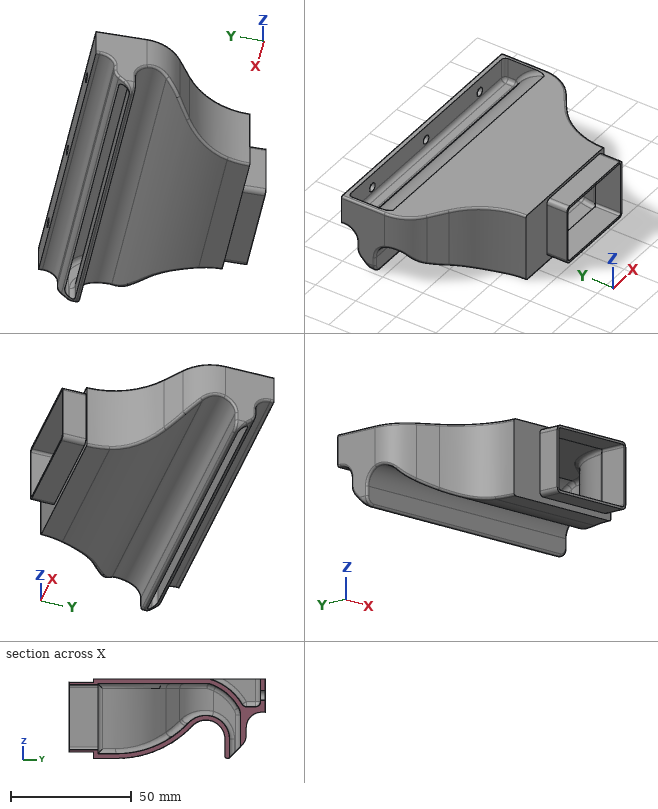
import cadquery as cq
import math


LENGTH = 120.0
HEIGHT = 33.0
TOTAL_DEPTH = 81.1
SPOUT_LENGTH = 10.0
BODY_DEPTH = TOTAL_DEPTH - SPOUT_LENGTH
WALL = 2.0
EDGE_RADIUS = 1.0
INNER_RADIUS = 2.0
OVERLAP = 1.2
ANGLE_TOLERANCE = 0.01

FRONT_WIDTH = 58.1
STRAIGHT_SIDE = 21.4
SHOULDER_RADIUS = 19.2
NECK_RADIUS = 34.8

BACK_STEP_Z = 19.1
BACK_STEP_RADIUS = 6.2
LIP_BACK = 7.8
LIP_BEND_RADIUS = 6.0
BEVEL_FOOT = 15.1
LIP_FRONT = 16.8
LIP_CORNER_RADIUS = 4.0
HUMP_RADIUS = 7.8
HUMP_Z = 15.8
HUMP_CENTRE = LIP_FRONT + HUMP_RADIUS
HUMP_CENTRE_Z = HUMP_Z - HUMP_RADIUS
BELLY_END = 61.5
HUMP_TURN = 2 * math.atan2(HUMP_Z, BELLY_END - HUMP_CENTRE)
BELLY_RADIUS = (BELLY_END - HUMP_CENTRE) / math.sin(HUMP_TURN) - HUMP_RADIUS

TROUGH_FLOOR_Z = 21.5
HILL_RADIUS = 23.2
HILL_TOP = 23.2
HILL_TOP_TILT = math.radians(16)
HILL_CENTRE = HILL_TOP + HILL_RADIUS * math.sin(HILL_TOP_TILT)
HILL_CENTRE_Z = HEIGHT - HILL_RADIUS * math.cos(HILL_TOP_TILT)
HILL_FOOT_TILT = math.acos((TROUGH_FLOOR_Z - HILL_CENTRE_Z) / HILL_RADIUS)

DUCT_TURN_RADIUS = 6.0
DUCT_TURN_TILT = math.radians(61)

HOLE_DIAMETER = 4.0
HOLE_SPACING = 40.0
HOLE_COUNT = 3
HOLE_DROP = 6.8

SPOUT_X = 7.0
SPOUT_WIDTH = 41.2
SPOUT_BOTTOM = 2.6
SPOUT_HEIGHT = 28.9
SPOUT_WALL = 1.1
SPOUT_RADIUS = 2.2


def on_circle(centre, centre_z, radius, tilt):
    """Point on a circle, tilt measured from straight up towards the front, as (depth, z)."""
    return centre + radius * math.sin(tilt), centre_z + radius * math.cos(tilt)


def side_sketch(half_width):
    """Sketch plane at x = half_width; local x is the depth from the back face, local y is z."""
    return cq.Workplane(cq.Plane(origin=(half_width, 0, 0), xDir=(0, -1, 0), normal=(-1, 0, 0)))


def plan_prism(inset):
    """Full-height block with the plan outline moved inwards by inset."""
    half_length = LENGTH / 2 - inset
    half_front = FRONT_WIDTH / 2 - inset
    front = -BODY_DEPTH + inset
    shoulder = SHOULDER_RADIUS - inset
    neck = NECK_RADIUS + inset

    reach = SHOULDER_RADIUS + NECK_RADIUS
    across = reach - (LENGTH - FRONT_WIDTH) / 2
    along = BODY_DEPTH - STRAIGHT_SIDE
    straight = math.sqrt(across**2 + along**2 - reach**2)
    turn = math.atan2(along, across) - math.atan2(straight, reach)

    def shoulder_point(angle):
        return half_length - shoulder * (1 - math.cos(angle)), -STRAIGHT_SIDE - shoulder * math.sin(angle)

    def neck_point(angle):
        return half_front + neck * (1 - math.cos(angle)), -BODY_DEPTH + neck * math.sin(angle)

    start = math.asin(inset / neck)
    half = (
        cq.Workplane("XY")
        .moveTo(0, -inset)
        .lineTo(half_length, -inset)
        .lineTo(*shoulder_point(0))
        .threePointArc(shoulder_point(turn / 2), shoulder_point(turn))
        .lineTo(*neck_point(turn))
        .threePointArc(neck_point((turn + start) / 2), neck_point(start))
        .lineTo(0, front)
        .close()
        .extrude(HEIGHT)
    )
    return half.union(half.mirror("YZ"))


def belly_point(radius, turn):
    """Point on a belly arc, turned back from its lowest point, as (depth, z)."""
    return on_circle(BELLY_END, BELLY_RADIUS, radius, math.pi + turn)


def round_side_edges(solid):
    """Round the upper and lower edges of both side walls, including the lip corners."""
    upright = cq.Vector(0, 0, 1)
    fore_and_aft = cq.Vector(0, 1, 0)

    def runs_along(edge, direction):
        return edge.geomType() == "LINE" and edge.tangentAt(0).cross(direction).Length < ANGLE_TOLERANCE

    def selected(edge):
        centre = edge.Center()
        lip_seam = runs_along(edge, fore_and_aft) and centre.z < HUMP_CENTRE_Z
        return abs(centre.x) > OVERLAP and not runs_along(edge, upright) and not lip_seam

    edges = [edge for edge in solid.edges().vals() if selected(edge)]
    return solid.newObject(edges).fillet(EDGE_RADIUS)


def body():
    """Solid body: plan outline crossed with the side profile, outer edges rounded."""
    bend = LIP_BEND_RADIUS
    bend_start_z = BEVEL_FOOT - LIP_BACK + bend * math.tan(math.pi / 8)
    bend_centre = LIP_BACK + bend

    def bend_point(angle):
        return bend_centre - bend * math.cos(angle), bend_start_z - bend * math.sin(angle)

    step_start = LIP_BACK - BACK_STEP_RADIUS
    step_centre_z = BACK_STEP_Z - BACK_STEP_RADIUS
    profile = (
        side_sketch(LENGTH / 2)
        .moveTo(0, HEIGHT)
        .lineTo(0, BACK_STEP_Z)
        .lineTo(step_start, BACK_STEP_Z)
        .threePointArc(
            on_circle(step_start, step_centre_z, BACK_STEP_RADIUS, math.pi / 4), (LIP_BACK, step_centre_z)
        )
        .lineTo(LIP_BACK, bend_start_z)
        .threePointArc(bend_point(math.pi / 8), bend_point(math.pi / 4))
        .lineTo(BEVEL_FOOT, 0)
        .lineTo(LIP_FRONT, 0)
        .lineTo(LIP_FRONT, HUMP_CENTRE_Z)
        .threePointArc(
            (HUMP_CENTRE, HUMP_Z), on_circle(HUMP_CENTRE, HUMP_CENTRE_Z, HUMP_RADIUS, HUMP_TURN)
        )
        .threePointArc(belly_point(BELLY_RADIUS, HUMP_TURN / 2), (BELLY_END, 0))
        .lineTo(BODY_DEPTH, 0)
        .lineTo(BODY_DEPTH, HEIGHT)
        .close()
        .extrude(LENGTH)
    )
    lip_zone = cq.Workplane("XY").box(LENGTH, LIP_FRONT, HEIGHT, centered=(True, False, False))
    lip_zone = lip_zone.translate((0, -LIP_FRONT, 0))
    lip_corners = lip_zone.cut(lip_zone.edges("|Y and <Z").fillet(LIP_CORNER_RADIUS))
    solid = plan_prism(0).intersect(profile).cut(lip_corners)
    return round_side_edges(solid)


def trough():
    """Tool for the open trough: flat floor, rounded corners, rising to the top along the hill."""
    half_width = LENGTH / 2 - WALL
    above = HEIGHT + INNER_RADIUS + OVERLAP
    tool = (
        side_sketch(half_width)
        .moveTo(WALL, TROUGH_FLOOR_Z)
        .lineTo(*on_circle(HILL_CENTRE, HILL_CENTRE_Z, HILL_RADIUS, -HILL_FOOT_TILT))
        .threePointArc(
            on_circle(HILL_CENTRE, HILL_CENTRE_Z, HILL_RADIUS, -HILL_FOOT_TILT / 2),
            (HILL_CENTRE, HILL_CENTRE_Z + HILL_RADIUS),
        )
        .lineTo(HILL_CENTRE, above)
        .lineTo(WALL, above)
        .close()
        .extrude(2 * half_width)
    )
    foot_depth = HILL_CENTRE - HILL_RADIUS * math.sin(HILL_FOOT_TILT)
    foot = cq.selectors.NearestToPointSelector((0, -foot_depth, TROUGH_FLOOR_Z))
    tool = tool.edges(foot).fillet(INNER_RADIUS)
    return tool.edges("<Z or (|Z and >Y) or <X or >X").edges("not(>Z)").fillet(INNER_RADIUS)


def duct():
    """Tool for the inner duct: over the hump, under the hill and out through the bevelled lip."""
    ceiling = HEIGHT - WALL
    under_hill = HILL_RADIUS - WALL
    ceiling_tilt = math.acos((ceiling - HILL_CENTRE_Z) / under_hill)
    turn_start = on_circle(HILL_CENTRE, HILL_CENTRE_Z, under_hill, -DUCT_TURN_TILT)
    turn_offset = under_hill - DUCT_TURN_RADIUS
    turn_centre, turn_z = on_circle(HILL_CENTRE, HILL_CENTRE_Z, turn_offset, -DUCT_TURN_TILT)
    turn_middle = -(DUCT_TURN_TILT + math.pi / 2) / 2
    back = turn_centre - DUCT_TURN_RADIUS
    hump = HUMP_RADIUS + WALL
    belly = BELLY_RADIUS - WALL
    profile = (
        side_sketch(LENGTH / 2)
        .moveTo(back, -OVERLAP)
        .lineTo(back, turn_z)
        .threePointArc(on_circle(turn_centre, turn_z, DUCT_TURN_RADIUS, turn_middle), turn_start)
        .threePointArc(
            on_circle(HILL_CENTRE, HILL_CENTRE_Z, under_hill, -(DUCT_TURN_TILT + ceiling_tilt) / 2),
            on_circle(HILL_CENTRE, HILL_CENTRE_Z, under_hill, -ceiling_tilt),
        )
        .lineTo(BODY_DEPTH, ceiling)
        .lineTo(BODY_DEPTH, WALL)
        .lineTo(BELLY_END, WALL)
        .threePointArc(belly_point(belly, HUMP_TURN / 2), belly_point(belly, HUMP_TURN))
        .threePointArc((HUMP_CENTRE, HUMP_CENTRE_Z + hump), (HUMP_CENTRE - hump, HUMP_CENTRE_Z))
        .lineTo(HUMP_CENTRE - hump, -OVERLAP)
        .close()
        .extrude(LENGTH)
    )
    tool = plan_prism(WALL).intersect(profile)

    def along_side(edge):
        centre = edge.Center()
        return abs(centre.x) > OVERLAP and centre.z > 0

    side_edges = [edge for edge in tool.edges().vals() if along_side(edge)]
    return tool.newObject(side_edges).fillet(INNER_RADIUS)


def spout_block(inset, length):
    """Rounded rectangular bar of the spout section, running inwards from the spout mouth."""
    centre_z = SPOUT_BOTTOM + SPOUT_HEIGHT / 2
    return (
        cq.Workplane("XZ", origin=(SPOUT_X, -TOTAL_DEPTH, centre_z))
        .rect(SPOUT_WIDTH - 2 * inset, SPOUT_HEIGHT - 2 * inset)
        .extrude(-length)
        .edges("|Y")
        .fillet(SPOUT_RADIUS - inset)
    )


def screw_holes():
    """Row of holes through the back wall."""
    return (
        cq.Workplane("XZ", origin=(0, OVERLAP, HEIGHT - HOLE_DROP))
        .rarray(HOLE_SPACING, 1.2, HOLE_COUNT, 1)
        .circle(HOLE_DIAMETER / 2)
        .extrude(WALL + 2 * OVERLAP)
    )


result = (
    body()
    .union(spout_block(0, SPOUT_LENGTH))
    .cut(duct())
    .cut(spout_block(SPOUT_WALL, SPOUT_LENGTH + WALL + OVERLAP))
    .cut(trough())
    .cut(screw_holes())
)